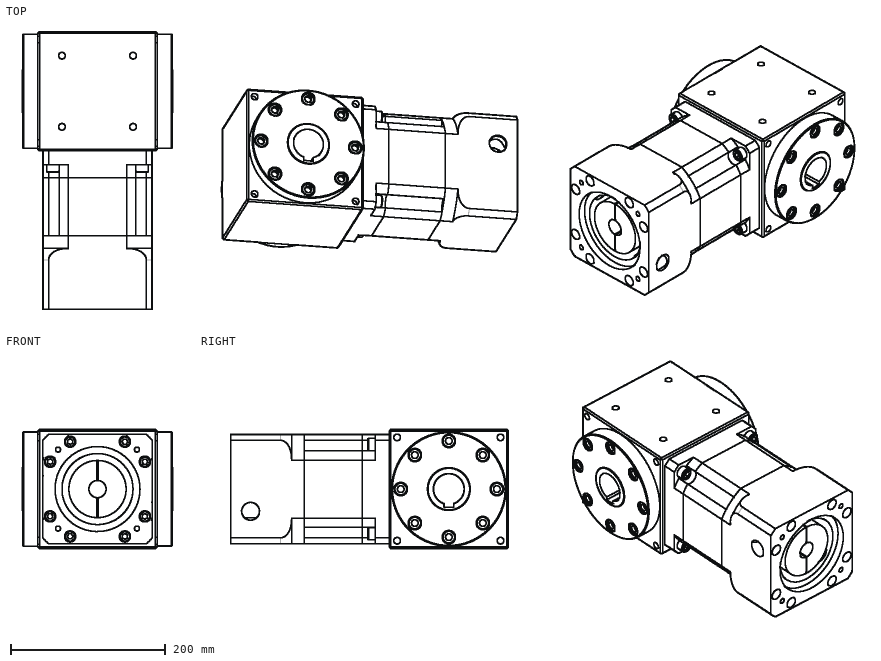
import cadquery as cq
import math


TOTAL_LENGTH = 359
CUBE_SIDE = 154.0
CUBE_CHAMFER = 2.0
SHAFT_LENGTH = 195.0
TUBE_SIDE = 141.5

CUBE_FRONT = -CUBE_SIDE / 2
MOTOR_FACE = CUBE_SIDE / 2 - TOTAL_LENGTH
SCREW_SEAT = -95.0
ADAPTER_END = -112.0
RING_END = -186.7
FLANGE_STEP = -203.2

FULL_CORNER_RADIUS = 94.8
CUT_CORNER_RADIUS = 80.0

DISC_RADIUS = 74.0
DISC_HALF_SPAN = 96.5
DISC_CHAMFER = 1.0
SHAFT_RADIUS = 27.5
SHAFT_CHAMFER = 0.7
SHAFT_BORE_RADIUS = 19.7
KEYWAY_WIDTH = 12.2
KEYWAY_REACH = 23.5
DISC_SCREW_COUNT = 8
DISC_SCREW_CIRCLE = 62.0
DISC_SCREW_POCKET_RADIUS = 8.5
DISC_SCREW_HEAD_RADIUS = 7.5
DISC_SCREW_POCKET_DEPTH = 3.0
DISC_SCREW_HEAD_HEIGHT = 1.5
DISC_SOCKET_RADIUS = 4.3
DISC_SOCKET_DEPTH = 4.3

SIDE_HOLE_OFFSET = 66.8
TOP_HOLE_OFFSET = 46.0
HOUSING_HOLE_RADIUS = 4.3
HOUSING_HOLE_DEPTH = 10.8
DRILL_POINT_ANGLE = 118

CORNER_SCREW_OFFSET = 57.8
CORNER_HEAD_RADIUS = 8.0
CORNER_HEAD_HEIGHT = 9.7
CORNER_HEAD_CHAMFER = 1.0
CORNER_SOCKET_WIDTH = 8.0
CORNER_SOCKET_DEPTH = 5.0
CORNER_GROOVE_RADIUS = 9.7

PILOT_RADIUS = 55.0
PILOT_DEPTH = 10.0
CLAMP_CAVITY_RADIUS = 46.0
CLAMP_CAVITY_DEPTH = 50.3
HUB_RADIUS = 37.0
HUB_BORE_RADIUS = 11.0
HUB_SLIT_WIDTH = 1.5
ACCESS_HOLE_RADIUS = 11.5
ACCESS_HOLE_HEIGHT = 28.7
ACCESS_HOLE_SETBACK = 26.0
MOTOR_HOLE_OFFSET = 51.0
MOTOR_HOLE_RADIUS = 3.2
MOTOR_HOLE_DEPTH = 10.8
FLANGE_SCREW_CIRCLE = 70.7
FLANGE_SCREW_ANGLE = 30
FLANGE_SCREW_WELL_RADIUS = 7.2
FLANGE_SCREW_WELL_DEPTH = 71.8
FLANGE_SCREW_HEAD_RADIUS = 6.0
FLANGE_SCREW_HEAD_HEIGHT = 7.2
FLANGE_SOCKET_WIDTH = 6.5
FLANGE_SOCKET_DEPTH = 3.5

TOWARDS_MOTOR = cq.Vector(0, -1, 0)
SIGNS = (-1, 1)


def rod(radius, start, end):
    """Cylinder around the Y axis between two places along Y."""
    return cq.Workplane("XZ", origin=(0, start, 0)).circle(radius).extrude(start - end)


def square_bar(start, end):
    """Bar of the motor side's square section between two places along Y."""
    return cq.Workplane("XZ", origin=(0, start, 0)).rect(TUBE_SIDE, TUBE_SIDE).extrude(start - end)


def cylinder(radius, length, point, direction):
    return cq.Workplane(cq.Solid.makeCylinder(radius, length, cq.Vector(*point), direction))


def drilled_hole(radius, depth, point, direction):
    """Blind hole with a drill point, as a solid to cut away."""
    point_depth = radius / math.tan(math.radians(DRILL_POINT_ANGLE / 2))
    floor = cq.Vector(*point) + direction * depth
    tip = cq.Workplane(cq.Solid.makeCone(radius, 0, point_depth, floor, direction))
    return cylinder(radius, depth, point, direction).union(tip)


def hex_socket(width, depth, x, y, z):
    """Hexagonal recess that runs from y towards +Y, as a solid to cut away."""
    across_corners = width / math.cos(math.radians(30))
    return cq.Workplane("XZ", origin=(x, y, z)).polygon(6, across_corners).extrude(-depth)


def corner_points(offset):
    return [(i * offset, j * offset) for i in SIGNS for j in SIGNS]


def corner_grooves(start, end):
    """Round grooves along the four corners, as solids to cut away."""
    return (
        cq.Workplane("XZ", origin=(0, start, 0))
        .pushPoints(corner_points(CORNER_SCREW_OFFSET))
        .circle(CORNER_GROOVE_RADIUS)
        .extrude(start - end)
    )


def add_output_disc(body, side):
    """Output disc with its shaft end and its ring of sunk screws, on the side -1 or +1 of X."""
    outwards = cq.Vector(side, 0, 0)
    inwards = -outwards
    disc = cylinder(DISC_RADIUS, DISC_HALF_SPAN, (0, 0, 0), outwards)
    disc = disc.faces(">X" if side > 0 else "<X").chamfer(DISC_CHAMFER)
    shaft_end = cylinder(SHAFT_RADIUS, SHAFT_LENGTH / 2, (0, 0, 0), outwards)
    shaft_end = shaft_end.faces(">X" if side > 0 else "<X").chamfer(SHAFT_CHAMFER)
    body = body.union(disc).union(shaft_end)

    floor_x = side * (DISC_HALF_SPAN - DISC_SCREW_POCKET_DEPTH)
    head_x = floor_x + side * DISC_SCREW_HEAD_HEIGHT
    for i in range(DISC_SCREW_COUNT):
        angle = 2 * math.pi * i / DISC_SCREW_COUNT
        y = DISC_SCREW_CIRCLE * math.cos(angle)
        z = DISC_SCREW_CIRCLE * math.sin(angle)
        pocket = cylinder(DISC_SCREW_POCKET_RADIUS, DISC_SCREW_POCKET_DEPTH, (floor_x, y, z), outwards)
        head = cylinder(DISC_SCREW_HEAD_RADIUS, DISC_SCREW_HEAD_HEIGHT, (floor_x, y, z), outwards)
        socket = drilled_hole(DISC_SOCKET_RADIUS, DISC_SOCKET_DEPTH, (head_x, y, z), inwards)
        body = body.cut(pocket.cut(head)).cut(socket)

    for y, z in corner_points(SIDE_HOLE_OFFSET):
        mouth = (side * CUBE_SIDE / 2, y, z)
        body = body.cut(drilled_hole(HOUSING_HOLE_RADIUS, HOUSING_HOLE_DEPTH, mouth, inwards))
    return body


def make_housing():
    """Cubic housing with both output discs and the keyed hollow shaft."""
    body = cq.Workplane("XY").box(CUBE_SIDE, CUBE_SIDE, CUBE_SIDE).edges().chamfer(CUBE_CHAMFER)
    for side in SIGNS:
        body = add_output_disc(body, side)

    shaft_start = (-SHAFT_LENGTH / 2, 0, 0)
    body = body.cut(cylinder(SHAFT_BORE_RADIUS, SHAFT_LENGTH, shaft_start, cq.Vector(1, 0, 0)))
    keyway = cq.Workplane("XY").box(SHAFT_LENGTH, KEYWAY_WIDTH, KEYWAY_REACH)
    body = body.cut(keyway.translate((0, 0, -KEYWAY_REACH / 2)))

    for x, y in corner_points(TOP_HOLE_OFFSET):
        mouth = (x, y, CUBE_SIDE / 2)
        body = body.cut(drilled_hole(HOUSING_HOLE_RADIUS, HOUSING_HOLE_DEPTH, mouth, cq.Vector(0, 0, -1)))
    return body


def make_adapter():
    """Square adapter on the housing, with a socket-head screw in each cut-back corner."""
    full = square_bar(CUBE_FRONT, SCREW_SEAT).intersect(rod(FULL_CORNER_RADIUS, CUBE_FRONT, SCREW_SEAT))
    cut_back = square_bar(SCREW_SEAT, ADAPTER_END).intersect(rod(CUT_CORNER_RADIUS, SCREW_SEAT, ADAPTER_END))
    body = full.union(cut_back.cut(corner_grooves(SCREW_SEAT, ADAPTER_END)))

    head_top = SCREW_SEAT - CORNER_HEAD_HEIGHT
    for x, z in corner_points(CORNER_SCREW_OFFSET):
        head = cylinder(CORNER_HEAD_RADIUS, CORNER_HEAD_HEIGHT, (x, SCREW_SEAT, z), TOWARDS_MOTOR)
        head = head.faces("<Y").chamfer(CORNER_HEAD_CHAMFER)
        head = head.cut(hex_socket(CORNER_SOCKET_WIDTH, CORNER_SOCKET_DEPTH, x, head_top, z))
        body = body.union(head)
    return body


def make_ring_gear():
    """Middle section with rounded corners and a round groove along each of them."""
    body = square_bar(ADAPTER_END, RING_END).intersect(rod(CUT_CORNER_RADIUS, ADAPTER_END, RING_END))
    return body.cut(corner_grooves(ADAPTER_END, RING_END))


def flange_blank():
    """Square block whose corners widen in a quarter round from the cut to the full radius."""
    round_radius = FULL_CORNER_RADIUS - CUT_CORNER_RADIUS
    round_end = FLANGE_STEP - round_radius
    diagonal = round_radius * math.sqrt(0.5)
    turned = (
        cq.Workplane("XY")
        .moveTo(0, RING_END)
        .lineTo(CUT_CORNER_RADIUS, RING_END)
        .lineTo(CUT_CORNER_RADIUS, FLANGE_STEP)
        .threePointArc(
            (CUT_CORNER_RADIUS + diagonal, round_end + diagonal),
            (FULL_CORNER_RADIUS, round_end),
        )
        .lineTo(FULL_CORNER_RADIUS, MOTOR_FACE)
        .lineTo(0, MOTOR_FACE)
        .close()
        .revolve(360, (0, 0, 0), (0, 1, 0))
    )
    return square_bar(RING_END, MOTOR_FACE).intersect(turned)


def cut_clamp_cavity(body):
    """Motor pilot and the ring-shaped cavity that leaves the slit clamping hub standing."""
    hub_face = MOTOR_FACE + PILOT_DEPTH
    cavity_floor = MOTOR_FACE + CLAMP_CAVITY_DEPTH
    hub = rod(HUB_RADIUS, cavity_floor, hub_face)
    cavity = rod(CLAMP_CAVITY_RADIUS, cavity_floor, hub_face).cut(hub)
    slit = (
        cq.Workplane("XZ", origin=(0, cavity_floor, 0))
        .rect(HUB_SLIT_WIDTH, 2 * HUB_RADIUS)
        .extrude(cavity_floor - hub_face)
    )
    body = body.cut(rod(PILOT_RADIUS, hub_face, MOTOR_FACE)).cut(cavity)
    body = body.cut(slit).cut(rod(HUB_BORE_RADIUS, cavity_floor, hub_face))

    access_length = TUBE_SIDE / 2
    for side in SIGNS:
        mouth = (side * TUBE_SIDE / 2, MOTOR_FACE + ACCESS_HOLE_SETBACK, -side * ACCESS_HOLE_HEIGHT)
        access = cylinder(ACCESS_HOLE_RADIUS, access_length, mouth, cq.Vector(-side, 0, 0))
        body = body.cut(access.cut(hub))
    return body


def cut_flange_screws(body):
    """Pairs of deep wells beside each corner, each with a socket-head screw at its floor."""
    floor = MOTOR_FACE + FLANGE_SCREW_WELL_DEPTH
    head_top = floor - FLANGE_SCREW_HEAD_HEIGHT
    for angle in (FLANGE_SCREW_ANGLE, 90 - FLANGE_SCREW_ANGLE):
        x = FLANGE_SCREW_CIRCLE * math.cos(math.radians(angle))
        z = FLANGE_SCREW_CIRCLE * math.sin(math.radians(angle))
        well = cylinder(FLANGE_SCREW_WELL_RADIUS, FLANGE_SCREW_WELL_DEPTH, (x, floor, z), TOWARDS_MOTOR)
        head = cylinder(FLANGE_SCREW_HEAD_RADIUS, FLANGE_SCREW_HEAD_HEIGHT, (x, floor, z), TOWARDS_MOTOR)
        head = head.cut(hex_socket(FLANGE_SOCKET_WIDTH, FLANGE_SOCKET_DEPTH, x, head_top, z))
        space = well.cut(head)
        for quarter in range(4):
            body = body.cut(space.rotate((0, 0, 0), (0, 1, 0), 90 * quarter))
    return body


def make_motor_flange():
    """Motor flange with its pilot, clamping hub, access holes and screw holes."""
    body = cut_clamp_cavity(flange_blank())
    body = cut_flange_screws(body)
    for x, z in corner_points(MOTOR_HOLE_OFFSET):
        hole = drilled_hole(MOTOR_HOLE_RADIUS, MOTOR_HOLE_DEPTH, (x, MOTOR_FACE, z), -TOWARDS_MOTOR)
        body = body.cut(hole)
    return body


housing = make_housing()
adapter = make_adapter()
ring_gear = make_ring_gear()
motor_flange = make_motor_flange()

result = cq.Compound.makeCompound(
    [housing.val(), adapter.val(), ring_gear.val(), motor_flange.val()]
)